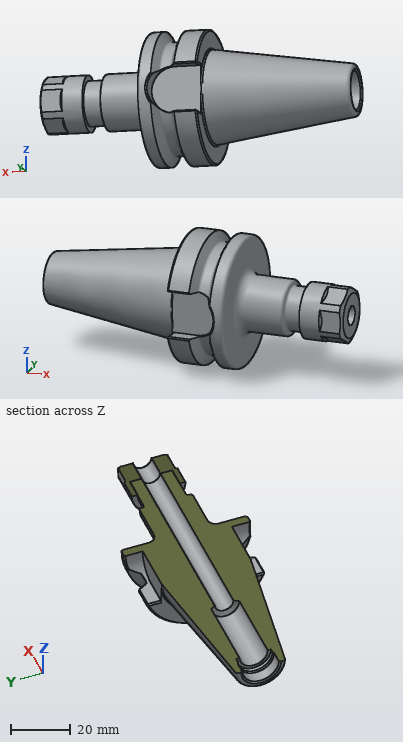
import cadquery as cq
import math


OVERALL_LENGTH = 108.4
EDGE_MARGIN = 0.05

TAPER_LENGTH = 48.9
TAPER_LARGE_RADIUS = 32.2 / 2
TAPER_RATIO = 7 / 24
TAPER_SMALL_RADIUS = TAPER_LARGE_RADIUS - TAPER_LENGTH * TAPER_RATIO / 2
TAPER_END_FILLET = 1.3
TAPER_ROOT_FILLET = 0.5

FLANGE_RADIUS = 46.0 / 2
FLANGE_START = 50.0
FLANGE_END = 70.5
FLANGE_CHAMFER = 0.5
FLANGE_BACK_FILLET = 1.2
GROOVE_START = 57.9
GROOVE_END = 65.8
GROOVE_RADIUS = 38.6 / 2
GROOVE_WALL_ANGLE = 30.0
GROOVE_WALL_RUN = (FLANGE_RADIUS - GROOVE_RADIUS) * math.tan(math.radians(GROOVE_WALL_ANGLE))
GROOVE_FILLET = 0.8

SLOT_WIDTH = 16.0
SLOT_FLOOR = 16.3
SLOT_END = 67.1
SLOT_CHAMFER = 0.5

COLLAR_RADIUS = 9.8
COLLAR_END = 87.2
COLLAR_FILLET = 1.0
COLLAR_ROOT_FILLET = 2.9
NECK_RADIUS = 15.5 / 2
NECK_FILLET = 0.7
NECK_END = 100.4

BORE_MOUTH_RADIUS = 14.5 / 2
BORE_MOUTH_DEPTH = 0.4
COUNTERBORE_RADIUS = 13.1 / 2
COUNTERBORE_DEPTH = 4.7
RELIEF_RADIUS = 12.5 / 2
RELIEF_START = 5.3
RELIEF_DEPTH = 6.7
THREAD_BORE_RADIUS = 10.1 / 2
THREAD_BORE_DEPTH = 32.5
DRILL_POINT_ANGLE = 118.0
THROUGH_RADIUS = 6.6 / 2

NUT_RADIUS = 9.8
NUT_START = 93.2
NUT_FLATS_START = 100.4
NUT_ACROSS_FLATS = 18.0
NUT_SIDES = 6
NUT_FACE_RADIUS = 15.5 / 2
NUT_CHAMFER_LENGTH = 0.9


def revolve_about_x(profile):
    """Turn a profile of (axial, radial) coordinates about the X axis."""
    return profile.close().revolve(360, (0, 0, 0), (1, 0, 0))


def edge_at(body, axial, radius):
    """Pick the circular edge of a turned body at one axial position and radius."""
    reach = radius + EDGE_MARGIN
    inside = radius - EDGE_MARGIN
    low = axial - EDGE_MARGIN
    high = axial + EDGE_MARGIN
    outer = cq.selectors.BoxSelector((low, -reach, -reach), (high, reach, reach), boundingbox=True)
    inner = cq.selectors.BoxSelector((low, -inside, -inside), (high, inside, inside), boundingbox=True)
    return body.edges(outer - inner)


def make_holder_blank():
    """Solid outside shape of the holder, before its slots and bore."""
    outline = (
        cq.Workplane("XY")
        .moveTo(0, 0)
        .lineTo(0, TAPER_SMALL_RADIUS)
        .lineTo(TAPER_LENGTH, TAPER_LARGE_RADIUS)
        .lineTo(FLANGE_START, TAPER_LARGE_RADIUS)
        .lineTo(FLANGE_START, FLANGE_RADIUS)
        .lineTo(GROOVE_START, FLANGE_RADIUS)
        .lineTo(GROOVE_START + GROOVE_WALL_RUN, GROOVE_RADIUS)
        .lineTo(GROOVE_END - GROOVE_WALL_RUN, GROOVE_RADIUS)
        .lineTo(GROOVE_END, FLANGE_RADIUS)
        .lineTo(FLANGE_END, FLANGE_RADIUS)
        .lineTo(FLANGE_END, COLLAR_RADIUS)
        .lineTo(COLLAR_END, COLLAR_RADIUS)
        .lineTo(COLLAR_END, NECK_RADIUS)
        .lineTo(NECK_END, NECK_RADIUS)
        .lineTo(NECK_END, 0)
    )
    blank = revolve_about_x(outline)
    blank = edge_at(blank, 0, TAPER_SMALL_RADIUS).fillet(TAPER_END_FILLET)
    blank = edge_at(blank, FLANGE_START, TAPER_LARGE_RADIUS).fillet(TAPER_ROOT_FILLET)
    blank = edge_at(blank, FLANGE_START, FLANGE_RADIUS).chamfer(FLANGE_CHAMFER)
    blank = edge_at(blank, GROOVE_START + GROOVE_WALL_RUN, GROOVE_RADIUS).fillet(GROOVE_FILLET)
    blank = edge_at(blank, GROOVE_END - GROOVE_WALL_RUN, GROOVE_RADIUS).fillet(GROOVE_FILLET)
    blank = edge_at(blank, FLANGE_END, FLANGE_RADIUS).fillet(FLANGE_BACK_FILLET)
    blank = edge_at(blank, FLANGE_END, COLLAR_RADIUS).fillet(COLLAR_ROOT_FILLET)
    blank = edge_at(blank, COLLAR_END, COLLAR_RADIUS).fillet(COLLAR_FILLET)
    return edge_at(blank, COLLAR_END, NECK_RADIUS).fillet(NECK_FILLET)


def make_slot_cutter():
    """Round-ended drive slot on the -Y side, open toward the taper, with a flared mouth."""
    half = SLOT_WIDTH / 2
    arc_center = SLOT_END - half
    depth = FLANGE_RADIUS - SLOT_FLOOR
    slot = (
        cq.Workplane("XZ", origin=(0, -SLOT_FLOOR, 0))
        .moveTo(TAPER_LENGTH, -half)
        .lineTo(arc_center, -half)
        .threePointArc((SLOT_END, 0), (arc_center, half))
        .lineTo(TAPER_LENGTH, half)
        .close()
        .extrude(depth)
    )
    mouth = (
        cq.Workplane("XY")
        .moveTo(FLANGE_START, half + SLOT_CHAMFER)
        .lineTo(FLANGE_START + SLOT_CHAMFER, half)
        .lineTo(FLANGE_START + SLOT_CHAMFER, -half)
        .lineTo(FLANGE_START, -half - SLOT_CHAMFER)
        .close()
        .extrude(depth)
        .rotate((0, 0, 0), (1, 0, 0), 90)
        .translate((0, -SLOT_FLOOR, 0))
    )
    return slot.union(mouth)


def slot_rim_edges(body):
    """Pick the edges where the slot walls break out through the rim of the flange, on both sides."""
    half = SLOT_WIDTH / 2
    rim_depth = math.sqrt(FLANGE_RADIUS**2 - half**2) - EDGE_MARGIN
    rims = []
    for side in (-1, 1):
        near_rim = cq.selectors.BoxSelector(
            (FLANGE_START, side * rim_depth, -half - EDGE_MARGIN),
            (SLOT_END, side * FLANGE_RADIUS, half + EDGE_MARGIN),
        )
        rims += body.edges(near_rim).vals()
    return body.newObject(rims)


def make_bore():
    """Stepped bore through the holder: counterbore, relief, thread bore and through hole."""
    point_slope = math.tan(math.radians(DRILL_POINT_ANGLE / 2))
    point_length = (THREAD_BORE_RADIUS - THROUGH_RADIUS) / point_slope
    return revolve_about_x(
        cq.Workplane("XY")
        .moveTo(0, 0)
        .lineTo(0, BORE_MOUTH_RADIUS)
        .lineTo(BORE_MOUTH_DEPTH, COUNTERBORE_RADIUS)
        .lineTo(COUNTERBORE_DEPTH, COUNTERBORE_RADIUS)
        .lineTo(RELIEF_START, RELIEF_RADIUS)
        .lineTo(RELIEF_DEPTH, RELIEF_RADIUS)
        .lineTo(RELIEF_DEPTH, THREAD_BORE_RADIUS)
        .lineTo(THREAD_BORE_DEPTH, THREAD_BORE_RADIUS)
        .lineTo(THREAD_BORE_DEPTH + point_length, THROUGH_RADIUS)
        .lineTo(NECK_END, THROUGH_RADIUS)
        .lineTo(NECK_END, 0)
    )


def make_holder():
    slot = make_slot_cutter()
    holder = make_holder_blank()
    for angle in (0, 180):
        holder = holder.cut(slot.rotate((0, 0, 0), (1, 0, 0), angle))
    holder = slot_rim_edges(holder).chamfer(SLOT_CHAMFER)
    return holder.cut(make_bore())


def make_nut():
    """Nut that fits over the neck, with six wrench flats that run out on a cone."""
    flat_radius = NUT_ACROSS_FLATS / 2
    run_out_end = NUT_FLATS_START + NUT_RADIUS - flat_radius
    body = revolve_about_x(
        cq.Workplane("XY")
        .moveTo(NUT_START, NECK_RADIUS)
        .lineTo(NUT_START, NUT_RADIUS)
        .lineTo(OVERALL_LENGTH - NUT_CHAMFER_LENGTH, NUT_RADIUS)
        .lineTo(OVERALL_LENGTH, NUT_FACE_RADIUS)
        .lineTo(OVERALL_LENGTH, THROUGH_RADIUS)
        .lineTo(NECK_END, THROUGH_RADIUS)
        .lineTo(NECK_END, NECK_RADIUS)
    )
    hexagon = (
        cq.Workplane("YZ", origin=(NUT_START, 0, 0))
        .polygon(NUT_SIDES, NUT_ACROSS_FLATS, circumscribed=True)
        .extrude(OVERALL_LENGTH - NUT_START)
    )
    run_out = revolve_about_x(
        cq.Workplane("XY")
        .moveTo(NUT_START, 0)
        .lineTo(NUT_START, NUT_RADIUS)
        .lineTo(NUT_FLATS_START, NUT_RADIUS)
        .lineTo(run_out_end, flat_radius)
        .lineTo(run_out_end, 0)
    )
    return body.intersect(hexagon.union(run_out))


holder = make_holder()
nut = make_nut()
result = cq.Compound.makeCompound([holder.solids().val(), nut.solids().val()])